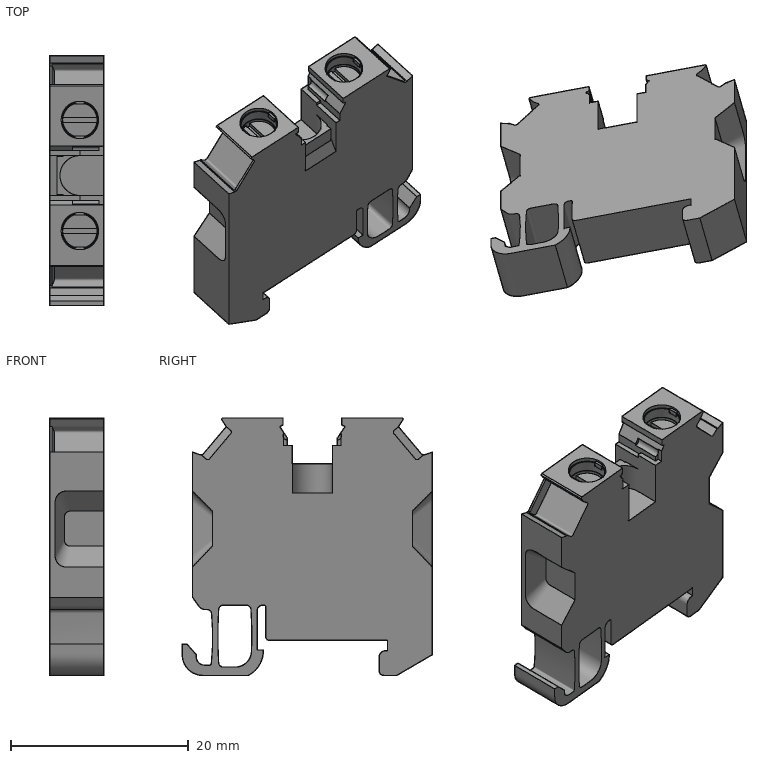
import cadquery as cq
import math


THICKNESS = 6.1
HEIGHT = 29.0
HALF_WIDTH = 13.5
PAST_SLOPE = 0.15
PAST_FACE = 1.0

TIP_Y = 10.25
TIP_BEVEL = 0.15
NECK_Y, NECK_Z = 9.7, 28.0
VALLEY_Y, VALLEY_Z = 12.35, 24.85
VALLEY_FLAT = 0.3
LIP_Z = 25.15
HEAD_INNER_Y = 3.3
HEAD_EDGE_Z = 28.2
GROOVE_Y, GROOVE_Z = 3.65, 28.0
SHOULDER_Y, SHOULDER_Z = 2.8, 26.7
LOW_STEP_Z, HIGH_STEP_Z = 25.55, 25.9

CHANNEL_HALF = 2.24
CHANNEL_FLOOR = 20.55
LEDGE_X, LEDGE_TOP = 0.8, 23.85
LEDGE_SLOPE_TOP = 21.85
BAY_X = 3.4
LEDGE_GAP, LEDGE_GAP_END = 0.1, 1.5

SCREW_X, SCREW_Y = 3.4, 6.25
WELL_RADIUS, WELL_RIM_DEPTH = 2.1, 0.45
BORE_RADIUS, BORE_DEPTH = 1.98, 1.73
SCREW_RADIUS, WELL_DEPTH = 1.93, 2.08
TAB_WIDTH, TAB_FLAT = 1.1, 1.8
TAB_TOP_DEPTH, TAB_BOTTOM_DEPTH = 0.25, 0.8
DRIVE_WIDTH, DRIVE_DEPTH = 0.55, 0.5

NOTCH_START, NOTCH_END = 2.56, 5.57
NOTCH_RADIUS, NOTCH_AXIS_Z = 0.5, 27.0
CORNER_CUT_Y = 3.25

POCKET_WEB = 0.25
POCKET_DEPTH = 0.9
POCKET_OVERRUN = 0.12
POCKET_DRAFT = 0.3
POCKET_FILLET = 0.25

FUNNEL_DEPTH = 2.25
MOUTH_X, MOUTH_BOTTOM, MOUTH_TOP, MOUTH_RADIUS = 0.62, 12.2, 20.75, 1.25
THROAT_X, THROAT_BOTTOM, THROAT_TOP, THROAT_RADIUS = 1.65, 14.55, 18.5, 0.7

SEAT_Z = 3.95
CLAW_INNER_Y, CLAW_STEP_Z = 8.45, 2.8
CLAW_TIP_Y, CLAW_BEVEL_Y, CLAW_BEVEL_Z = 7.5, 9.5, 2.33
CLAW_RADIUS, CLAW_TOP_RADIUS = 0.55, 0.75

SLIT_INNER_Y, SLIT_OUTER_Y, SLIT_TOP = -5.25, -6.2, 7.9
SLIT_INNER_RADIUS, SLIT_OUTER_RADIUS, SEAT_RADIUS = 0.2, 0.6, 0.4
CATCH_Y, CATCH_Z = -5.5, 2.87
FOOT_FLAT_START, FOOT_FLAT_END = -7.2, -12.4
HOOK_Y, HOOK_Z = -14.65, 3.53
HOOK_TIP_Y, HOOK_THROAT_Y, HOOK_THROAT_Z = -14.1, -13.05, 2.35
HOOK_ARC_Z = 2.4
CATCH_MID_Y, CATCH_MID_Z = -6.0, 1.1
TROUGH_Z, TROUGH_RADIUS, TROUGH_LEG_RADIUS = 1.18, 0.9, 0.15
LEG_Y, LEG_BOW = -11.4, 0.17
SHELF_Z, SHELF_Y = 7.4, -12.5
SHELF_RADIUS, BEVEL_RADIUS = 0.45, 1.0
SIDE_BEVEL_Z = 8.8
WINDOW_INNER_Y, WINDOW_OUTER_Y = -6.95, -10.5
WINDOW_BOTTOM, WINDOW_TOP = 0.96, 7.9
WINDOW_BOW = 0.12
WINDOW_RADIUS, WINDOW_BIG_RADIUS = 0.5, 1.8


def block(x_range, y_range, z_range):
    """Axis-aligned box given by its limits."""
    lows, highs = zip(x_range, y_range, z_range)
    sizes = [high - low for low, high in zip(lows, highs)]
    return cq.Workplane("XY").box(*sizes, centered=False).translate(lows)


def round_edges(solid, y, z, radius):
    """Fillet the edge that runs along X through (y, z)."""
    near = 0.02
    picker = cq.selectors.BoxSelector((-PAST_FACE, y - near, z - near),
                                      (THICKNESS + PAST_FACE, y + near, z + near))
    return solid.edges("|X").edges(picker).fillet(radius)


def both_sides(cutter):
    """The cutter together with its mirror image on the other Y side."""
    return cutter.union(cutter.mirror("XZ"))


def head_side_points():
    """Upper outline of the +Y side, from the channel floor out to the lip of the end wall."""
    return [
        (CHANNEL_HALF, CHANNEL_FLOOR),
        (CHANNEL_HALF, LOW_STEP_Z),
        (SHOULDER_Y, LOW_STEP_Z),
        (SHOULDER_Y, SHOULDER_Z),
        (GROOVE_Y, GROOVE_Z),
        (HEAD_INNER_Y, HEAD_EDGE_Z),
        (HEAD_INNER_Y, HEIGHT),
        (TIP_Y - TIP_BEVEL, HEIGHT),
        (TIP_Y, HEIGHT - TIP_BEVEL),
        (NECK_Y, NECK_Z),
        (VALLEY_Y, VALLEY_Z),
        (VALLEY_Y + VALLEY_FLAT, VALLEY_Z),
        (HALF_WIDTH, LIP_Z),
    ]


def make_body():
    """Main profile with the rail seat, the fixed claw and the spring foot."""
    plus_side = head_side_points()
    minus_side = [(-y, z) for y, z in reversed(plus_side)]
    leg_middle_z = (SHELF_Z + TROUGH_Z) / 2
    hook_mid_y = FOOT_FLAT_END + (HOOK_Y - FOOT_FLAT_END) * math.sqrt(0.5)
    hook_mid_z = HOOK_ARC_Z * (1 - math.sqrt(0.5))

    outline = (
        cq.Workplane("YZ")
        .polyline(minus_side + plus_side)
        .lineTo(HALF_WIDTH, CLAW_BEVEL_Z)
        .lineTo(CLAW_BEVEL_Y, 0)
        .lineTo(CLAW_TIP_Y, 0)
        .lineTo(CLAW_TIP_Y, CLAW_STEP_Z)
        .lineTo(CLAW_INNER_Y, CLAW_STEP_Z)
        .lineTo(CLAW_INNER_Y, SEAT_Z)
        .lineTo(SLIT_INNER_Y, SEAT_Z)
        .lineTo(SLIT_INNER_Y, SLIT_TOP)
        .lineTo(SLIT_OUTER_Y, SLIT_TOP)
        .lineTo(SLIT_OUTER_Y, CATCH_Z)
        .lineTo(CATCH_Y, CATCH_Z)
        .threePointArc((CATCH_MID_Y, CATCH_MID_Z), (FOOT_FLAT_START, 0))
        .lineTo(FOOT_FLAT_END, 0)
        .threePointArc((hook_mid_y, hook_mid_z), (HOOK_Y, HOOK_ARC_Z))
        .lineTo(HOOK_Y, HOOK_Z)
        .lineTo(HOOK_TIP_Y, HOOK_Z)
        .lineTo(HOOK_THROAT_Y, HOOK_THROAT_Z)
        .lineTo(HOOK_THROAT_Y, TROUGH_Z)
        .lineTo(LEG_Y, TROUGH_Z)
        .threePointArc((LEG_Y + LEG_BOW, leg_middle_z), (LEG_Y, SHELF_Z))
        .lineTo(SHELF_Y, SHELF_Z)
        .lineTo(-HALF_WIDTH, SIDE_BEVEL_Z)
        .close()
    )
    body = outline.extrude(THICKNESS)

    rounded_corners = [
        (CLAW_TIP_Y, 0, CLAW_RADIUS),
        (CLAW_TIP_Y, CLAW_STEP_Z, CLAW_TOP_RADIUS),
        (SLIT_INNER_Y, SEAT_Z, SEAT_RADIUS),
        (SLIT_INNER_Y, SLIT_TOP, SLIT_INNER_RADIUS),
        (SLIT_OUTER_Y, SLIT_TOP, SLIT_OUTER_RADIUS),
        (HOOK_THROAT_Y, TROUGH_Z, TROUGH_RADIUS),
        (LEG_Y, TROUGH_Z, TROUGH_LEG_RADIUS),
        (LEG_Y, SHELF_Z, SHELF_RADIUS),
        (SHELF_Y, SHELF_Z, BEVEL_RADIUS),
    ]
    for y, z, radius in rounded_corners:
        body = round_edges(body, y, z, radius)
    return body


def make_foot_window():
    """Opening between the two slightly bowed legs of the spring foot."""
    middle_z = (WINDOW_BOTTOM + WINDOW_TOP) / 2
    window = (
        cq.Workplane("YZ")
        .moveTo(WINDOW_INNER_Y, WINDOW_TOP)
        .lineTo(WINDOW_OUTER_Y, WINDOW_TOP)
        .threePointArc((WINDOW_OUTER_Y - WINDOW_BOW, middle_z), (WINDOW_OUTER_Y, WINDOW_BOTTOM))
        .lineTo(WINDOW_INNER_Y, WINDOW_BOTTOM)
        .threePointArc((WINDOW_INNER_Y + WINDOW_BOW, middle_z), (WINDOW_INNER_Y, WINDOW_TOP))
        .close()
        .extrude(THICKNESS)
    )
    window = round_edges(window, WINDOW_INNER_Y, WINDOW_TOP, WINDOW_RADIUS)
    window = round_edges(window, WINDOW_OUTER_Y, WINDOW_TOP, WINDOW_RADIUS)
    window = round_edges(window, WINDOW_OUTER_Y, WINDOW_BOTTOM, WINDOW_RADIUS)
    return round_edges(window, WINDOW_INNER_Y, WINDOW_BOTTOM, WINDOW_BIG_RADIUS)


def make_ledge():
    """Ledge standing in the channel, sloped at its foot and open to +X through a round-ended bay."""
    foot = (
        cq.Workplane("XZ", origin=(0, CHANNEL_HALF, 0))
        .polyline([
            (0, CHANNEL_FLOOR),
            (LEDGE_X, LEDGE_SLOPE_TOP),
            (THICKNESS, LEDGE_SLOPE_TOP),
            (THICKNESS, CHANNEL_FLOOR),
        ])
        .close()
        .extrude(2 * CHANNEL_HALF)
    )
    upright_half = CHANNEL_HALF - LEDGE_GAP
    upright_z = (LEDGE_SLOPE_TOP, LEDGE_TOP)
    upright = block((LEDGE_X, LEDGE_GAP_END), (-upright_half, upright_half), upright_z)
    upright = upright.union(block((LEDGE_GAP_END, BAY_X), (-CHANNEL_HALF, CHANNEL_HALF), upright_z))
    bay_height = LEDGE_TOP - CHANNEL_FLOOR
    bay = cq.Workplane("XY", origin=(BAY_X, 0, CHANNEL_FLOOR)).circle(CHANNEL_HALF).extrude(bay_height)
    bay = bay.union(block((BAY_X, THICKNESS), (-CHANNEL_HALF, CHANNEL_HALF), (CHANNEL_FLOOR, LEDGE_TOP)))
    return foot.union(upright).cut(bay)


def make_high_steps():
    """Raised +X half of the two steps beside the channel."""
    step = block((SCREW_X, THICKNESS), (CHANNEL_HALF, SHOULDER_Y), (LOW_STEP_Z, HIGH_STEP_Z))
    return both_sides(step)


def make_head_notches():
    """Hollow in the slanted face of each head, and the square cut at its +X end."""
    hollow = (
        cq.Workplane("YZ", origin=(NOTCH_START, SHOULDER_Y, NOTCH_AXIS_Z))
        .circle(NOTCH_RADIUS)
        .extrude(NOTCH_END - NOTCH_START)
    )
    corner = block((NOTCH_END, THICKNESS), (SHOULDER_Y, CORNER_CUT_Y), (HIGH_STEP_Z, GROOVE_Z))
    return both_sides(hollow.union(corner))


def make_screw_well():
    """Stepped well with wall tabs and, at its bottom, the drive slot of the screw."""
    def disc(radius, depth):
        return cq.Workplane("XY", origin=(SCREW_X, SCREW_Y, HEIGHT - depth)).circle(radius).extrude(depth)

    well = disc(WELL_RADIUS, WELL_RIM_DEPTH)
    well = well.union(disc(BORE_RADIUS, BORE_DEPTH))
    well = well.union(disc(SCREW_RADIUS, WELL_DEPTH))

    tab_x = (SCREW_X - TAB_WIDTH / 2, SCREW_X + TAB_WIDTH / 2)
    tab_z = (HEIGHT - TAB_BOTTOM_DEPTH, HEIGHT - TAB_TOP_DEPTH)
    for inner, outer in ((TAB_FLAT, WELL_RADIUS), (-WELL_RADIUS, -TAB_FLAT)):
        well = well.cut(block(tab_x, (SCREW_Y + inner, SCREW_Y + outer), tab_z))

    slot = (
        cq.Workplane("XY", origin=(SCREW_X, SCREW_Y, HEIGHT - WELL_DEPTH - DRIVE_DEPTH))
        .rect(2 * WELL_RADIUS, DRIVE_WIDTH)
        .extrude(DRIVE_DEPTH)
        .intersect(disc(SCREW_RADIUS, WELL_DEPTH + DRIVE_DEPTH))
    )
    return well.union(slot)


def make_side_pocket():
    """Pocket sunk square into the slope between neck and valley, with a drafted web wall, open to +X."""
    slope_y = VALLEY_Y - NECK_Y
    slope_z = VALLEY_Z - NECK_Z
    slope_length = math.hypot(slope_y, slope_z)
    cross_section = cq.Plane(
        origin=(0, NECK_Y, NECK_Z),
        xDir=(1, 0, 0),
        normal=(0, slope_y, slope_z),
    )
    pocket = (
        cq.Workplane(cross_section)
        .polyline([
            (POCKET_WEB, -PAST_SLOPE),
            (POCKET_WEB, 0),
            (POCKET_WEB + POCKET_DRAFT, POCKET_DEPTH),
            (THICKNESS, POCKET_DEPTH),
            (THICKNESS, -PAST_SLOPE),
        ])
        .close()
        .extrude(slope_length + POCKET_OVERRUN)
    )
    floor = cq.selectors.DirectionMinMaxSelector(cross_section.yDir)
    return pocket.faces(floor).edges("|X").fillet(POCKET_FILLET)


def make_wire_funnel():
    """Funnel in the +Y end wall: a wide mouth narrowing to a smaller throat, open to +X."""
    def section(path, left, bottom, top, radius):
        bend = radius * (1 - math.sqrt(0.5))
        right = THICKNESS + PAST_FACE
        return (
            path.moveTo(right, bottom)
            .lineTo(left + radius, bottom)
            .threePointArc((left + bend, bottom + bend), (left, bottom + radius))
            .lineTo(left, top - radius)
            .threePointArc((left + bend, top - bend), (left + radius, top))
            .lineTo(right, top)
            .close()
        )

    mouth = section(cq.Workplane("XZ", origin=(0, HALF_WIDTH, 0)),
                    MOUTH_X, MOUTH_BOTTOM, MOUTH_TOP, MOUTH_RADIUS)
    throat = section(mouth.workplane(offset=FUNNEL_DEPTH),
                     THROAT_X, THROAT_BOTTOM, THROAT_TOP, THROAT_RADIUS)
    return throat.loft(ruled=True)


result = make_body()
result = result.cut(make_foot_window())
result = result.union(make_ledge())
result = result.union(make_high_steps())
result = result.cut(make_head_notches())
result = result.cut(both_sides(make_screw_well()))
result = result.cut(both_sides(make_side_pocket()))
result = result.cut(both_sides(make_wire_funnel()))